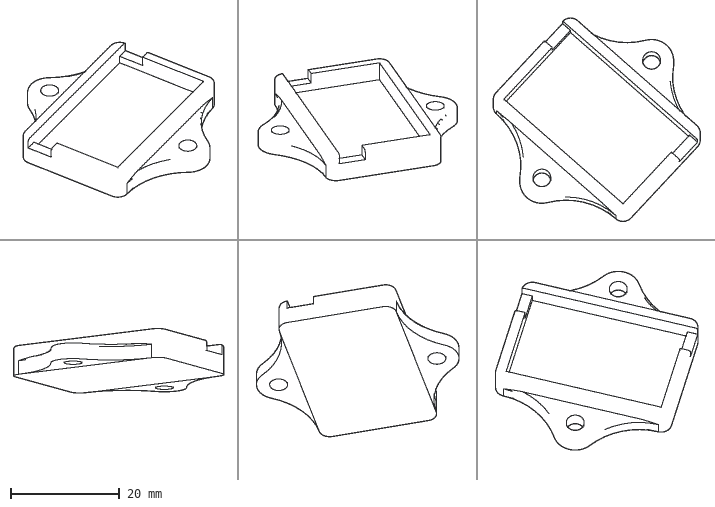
import cadquery as cq
import math

TRAY_WIDTH = 22.2
TRAY_LENGTH = 33.5
TRAY_HEIGHT = 5.5
WALL = 2.0
CORNER_RADIUS = WALL
FLOOR = 2.0
EDGE_FILLET = 0.5

NOTCH_WIDTH = 5.0
NOTCH_BOTTOM = 3.5

OVERALL_WIDTH = 38.2
EAR_HEIGHT = 3.0
EAR_TIP_RADIUS = 4.1
HOLE_DIAMETER = 3.3

SIDE_X = TRAY_WIDTH / 2
TIP_X = OVERALL_WIDTH / 2
HOLE_X = TIP_X - EAR_TIP_RADIUS
FLANK_START_Y = TRAY_LENGTH / 2 - CORNER_RADIUS


def make_tray():
    cavity_width = TRAY_WIDTH - 2 * WALL
    cavity_length = TRAY_LENGTH - 2 * WALL
    tray = (
        cq.Workplane("XY")
        .rect(TRAY_WIDTH, TRAY_LENGTH)
        .extrude(TRAY_HEIGHT)
        .edges("|Z")
        .fillet(CORNER_RADIUS)
        .faces(">Z")
        .edges()
        .fillet(EDGE_FILLET)
    )
    cavity = (
        cq.Workplane("XY")
        .workplane(offset=FLOOR)
        .rect(cavity_width, cavity_length)
        .extrude(TRAY_HEIGHT - FLOOR)
    )
    notches = (
        cq.Workplane("XY")
        .workplane(offset=NOTCH_BOTTOM)
        .center((NOTCH_WIDTH - cavity_width) / 2, 0)
        .rect(NOTCH_WIDTH, TRAY_LENGTH)
        .extrude(TRAY_HEIGHT - NOTCH_BOTTOM)
    )
    return tray.cut(cavity).cut(notches)


def make_ear(turn):
    """Ear on the +X side, turned about Z by the given angle in degrees."""
    reach = HOLE_X - SIDE_X
    flank_radius = (reach**2 + FLANK_START_Y**2 - EAR_TIP_RADIUS**2) / (2 * (reach + EAR_TIP_RADIUS))
    flank_x = SIDE_X + flank_radius

    centre_angle = math.atan2(FLANK_START_Y, flank_x - HOLE_X)
    join_x = HOLE_X + EAR_TIP_RADIUS * math.cos(centre_angle)
    join_y = EAR_TIP_RADIUS * math.sin(centre_angle)

    middle_angle = (math.pi + centre_angle + math.pi) / 2
    middle_x = flank_x + flank_radius * math.cos(middle_angle)
    middle_y = FLANK_START_Y + flank_radius * math.sin(middle_angle)

    root_x = SIDE_X - WALL
    root_y = TRAY_LENGTH / 2
    blank = (
        cq.Workplane("XY")
        .moveTo(root_x, -root_y)
        .lineTo(SIDE_X, -root_y)
        .lineTo(SIDE_X, -FLANK_START_Y)
        .threePointArc((middle_x, -middle_y), (join_x, -join_y))
        .threePointArc((TIP_X, 0), (join_x, join_y))
        .threePointArc((middle_x, middle_y), (SIDE_X, FLANK_START_Y))
        .lineTo(SIDE_X, root_y)
        .lineTo(root_x, root_y)
        .close()
        .extrude(EAR_HEIGHT)
        .faces(">Z")
        .edges(cq.selectors.BoxSelector(
            (SIDE_X - EDGE_FILLET, -root_y + EDGE_FILLET, 0),
            (TIP_X + EDGE_FILLET, root_y - EDGE_FILLET, OVERALL_WIDTH),
        ))
        .fillet(EDGE_FILLET)
    )
    tray_side = (
        cq.Workplane("XY")
        .rect(TRAY_WIDTH, 2 * TRAY_LENGTH)
        .extrude(TRAY_HEIGHT)
    )
    hole = (
        cq.Workplane("XY")
        .center(HOLE_X, 0)
        .circle(HOLE_DIAMETER / 2)
        .extrude(EAR_HEIGHT)
    )
    ear = blank.cut(tray_side).cut(hole)
    return ear.rotate((0, 0, 0), (0, 0, 1), turn)


tray = make_tray()
ears = [make_ear(turn).val() for turn in (0, 180)]

result = cq.Compound.makeCompound([tray.val(), *ears])